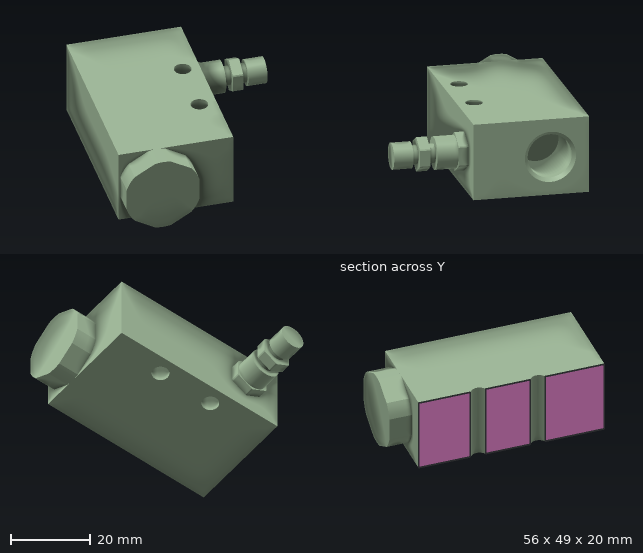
import cadquery as cq

body_length = 50.0
body_width = 30.0
body_height = 20.0
mid_height = body_height / 2

port_y = 10.0
port_diameter = 11.4
port_mouth_diameter = 13.3
port_chamfer = (port_mouth_diameter - port_diameter) / 2
port_depth = 15.0

end_nut_length = 56 - body_length
end_nut_across_flats = 19.05
end_nut_corner_diameter = body_height

mount_hole_diameter = 4.5
mount_hole_from_back = 4.5
mount_hole_first_x = 18.0
mount_hole_spacing = 16.0

screw_x = 10.0
base_hex_flats = 9.0
base_hex_corners = 10.2
base_hex_length = 2.5
collar_diameter = 8.5
collar_length = 5.45
stem_diameter = 5.0
inner_neck_length = 1.8
lock_nut_flats = 8.0
lock_nut_corners = 9.0
lock_nut_length = 2.75
outer_neck_length = 1.45
knob_diameter = 6.9
knob_length = 5.05


def cylinder(plane, diameter, length):
    return cq.Workplane(plane).circle(diameter / 2).extrude(length)


def rounded_hex(plane, across_flats, corner_diameter, length):
    """Hexagon with flats facing the plane's local X, its corners trimmed to a circle."""
    hexagon = (
        cq.Workplane(plane)
        .polygon(6, across_flats, circumscribed=True)
        .extrude(length)
    )
    return hexagon.intersect(cylinder(plane, corner_diameter, length))


def screw_plane(distance):
    """Plane across the screw axis, at a distance outside the +Y face."""
    return cq.Plane(
        origin=(screw_x, body_width + distance, mid_height),
        xDir=(1, 0, 0),
        normal=(0, 1, 0),
    )


def make_body():
    block = cq.Workplane("XY").box(body_length, body_width, body_height, centered=False)
    hole_y = body_width - mount_hole_from_back
    hole_centres = [
        (mount_hole_first_x, hole_y),
        (mount_hole_first_x + mount_hole_spacing, hole_y),
    ]
    holes = (
        cq.Workplane("XY")
        .pushPoints(hole_centres)
        .circle(mount_hole_diameter / 2)
        .extrude(body_height)
    )
    return block.cut(holes)


def make_port():
    """Blind port with a conical mouth, revolved about its axis along X."""
    bore_radius = port_diameter / 2
    return (
        cq.Workplane("XY", origin=(0, port_y, mid_height))
        .moveTo(0, 0)
        .lineTo(0, port_mouth_diameter / 2)
        .lineTo(port_chamfer, bore_radius)
        .lineTo(port_depth, bore_radius)
        .lineTo(port_depth, 0)
        .close()
        .revolve(360, (0, 0, 0), (1, 0, 0))
    )


def make_end_nut():
    plane = cq.Plane(
        origin=(body_length, port_y, mid_height),
        xDir=(0, 1, 0),
        normal=(1, 0, 0),
    )
    return rounded_hex(plane, end_nut_across_flats, end_nut_corner_diameter, end_nut_length)


def make_screw():
    collar_start = base_hex_length
    stem_start = collar_start + collar_length
    lock_nut_start = stem_start + inner_neck_length
    knob_start = lock_nut_start + lock_nut_length + outer_neck_length

    base = rounded_hex(screw_plane(0), base_hex_flats, base_hex_corners, base_hex_length)
    collar = cylinder(screw_plane(collar_start), collar_diameter, collar_length)
    stem = cylinder(screw_plane(stem_start), stem_diameter, knob_start - stem_start)
    lock_nut = rounded_hex(
        screw_plane(lock_nut_start), lock_nut_flats, lock_nut_corners, lock_nut_length
    )
    knob = cylinder(screw_plane(knob_start), knob_diameter, knob_length)
    return base.union(collar).union(stem).union(lock_nut).union(knob)


result = make_body().cut(make_port()).union(make_end_nut()).union(make_screw())